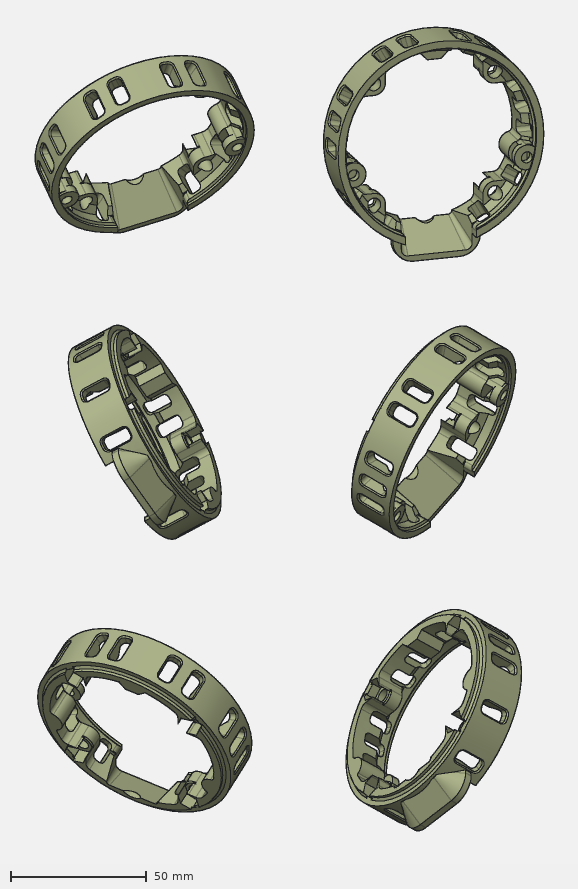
import cadquery as cq
import math


ring_length = 19.0
outer_radius = 40.0
opening_radius = 33.9
cavity_radius = 36.4
cavity_start = 11.2
cavity_slope_length = cavity_radius - opening_radius
recess_radius = 37.2
recess_depth = 1.0
recess_slope_length = 0.7
recess_start = ring_length - recess_depth - recess_slope_length

clearance = 0.9

tolerance = 0.01

lip_radius = 37.0
lip_root_radius = 38.0
lip_straight_length = 1.2
shoulder = 1.9

boss_offset = 23.4
boss_radius = 4.5
boss_fillet = 3.0
screw_hole_diameter = 5.2
nut_flats = 8.0
nut_diameter = nut_flats / math.cos(math.pi / 6)
nut_depth = 5.6
boss_chamfer = 0.5
lip_gap_reach = 5.3

bump_radius = 4.8
bump_y = 33.7
bump_z = -8.8
bump_end = 18.1
bump_fillet = 1.7
bump_root_fillet = 0.9
bump_hole_diameter = 4.2
bump_slot_floor_y = 36.1
bump_slot_length = 3.9
bump_slot_height = 8.6

key_tip_width = 5.3
key_root_width = 10.8
key_tip_z = 30.65
key_root_z = 33.4

window_length = 11.1
window_width = 5.1
window_corner = 1.6
window_chamfer = 0.6
window_x = 10.6
window_inner_radius = 30.9
window_angles = (-60, -30, 0, 15, 30, 60, 75)

scoop_width = 34.0
scoop_bottom_z = -45.85
scoop_corner = 8.15
plate_start = 11.4
plate_thickness = 2.7
ramp_length = 8.4
ramp_angle = 38
throat_width = 20.95
throat_bottom_z = -33.75
throat_corner = 1.3
mouth_width = 27.6
mouth_bottom_z = -43.5
mouth_corner = 2.6
mouth_edge_fillet = 2.15
cable_groove_radius = 4.8
cable_groove_z = -30.65
cable_groove_length = 5.6


def section(x):
    """Workplane across the ring axis at position x."""
    return cq.Workplane("YZ", origin=(x, 0, 0))


def disc(radius, start, length):
    return section(start).circle(radius).extrude(length)


def cone(start_radius, end_radius, start, length):
    return section(start).circle(start_radius).workplane(offset=length).circle(end_radius).loft()


def upright_slab(x, width, bottom_z, corner):
    """Closed wire reaching from the ring axis down to bottom_z, rounded at its lower corners."""
    half = width / 2
    arc_offset = corner * math.sqrt(0.5)
    arc_z = bottom_z + corner - arc_offset
    arc_y = half - corner + arc_offset
    return (
        section(x)
        .moveTo(-half, 0)
        .lineTo(-half, bottom_z + corner)
        .threePointArc((-arc_y, arc_z), (corner - half, bottom_z))
        .lineTo(half - corner, bottom_z)
        .threePointArc((arc_y, arc_z), (half, bottom_z + corner))
        .lineTo(half, 0)
        .close()
    )


def bump(side, start, length):
    return section(start).center(side * bump_y, bump_z).circle(bump_radius).extrude(length)


def corner_boss():
    """Square-backed boss with one rounded corner, in the +Y +Z quadrant."""
    size = 2 * boss_radius + boss_offset
    inner = boss_offset - boss_radius
    block = section(0).center(inner, inner).rect(size, size, centered=False).extrude(cavity_start)
    return block.edges("|X and <Y and <Z").fillet(boss_radius)


def opening():
    """Material removed from the middle of the ring, ahead of the rear cavity."""
    cut = disc(opening_radius, 0, cavity_start)
    boss = corner_boss()
    for quarter in range(4):
        cut = cut.cut(boss.rotate((0, 0, 0), (1, 0, 0), 90 * quarter))
    for side in (-1, 1):
        cut = cut.cut(bump(side, 0, cavity_start))
    key = (
        section(0)
        .polyline([
            (-key_tip_width / 2, key_tip_z),
            (key_tip_width / 2, key_tip_z),
            (key_root_width / 2, key_root_z),
            (key_root_width / 2, outer_radius),
            (-key_root_width / 2, outer_radius),
            (-key_root_width / 2, key_root_z),
        ])
        .close()
        .extrude(cavity_start)
    )

    def on_rim(edge):
        centre = edge.Center()
        return abs(math.hypot(centre.y, centre.z) - opening_radius) < tolerance

    def above_bump(edge):
        return on_rim(edge) and bump_z < edge.Center().z < 0

    def below_bump(edge):
        return on_rim(edge) and bump_z - 2 * bump_radius < edge.Center().z < bump_z

    def beside_boss(edge):
        centre = edge.Center()
        return on_rim(edge) and min(abs(centre.y), abs(centre.z)) > boss_offset - 2 * boss_radius

    cut = cut.edges("|X").filter(beside_boss).fillet(boss_fillet)
    cut = cut.edges("|X").filter(above_bump).fillet(bump_fillet)
    cut = cut.edges("|X").filter(below_bump).fillet(bump_root_fillet)
    return cut.cut(key)


def rear_cavity():
    bore_start = cavity_start + cavity_slope_length
    cavity = cone(opening_radius, cavity_radius, cavity_start, cavity_slope_length)
    cavity = cavity.union(disc(cavity_radius, bore_start, ring_length - bore_start))
    bump_length = bump_end - cavity_start
    for side in (-1, 1):
        backing = section(cavity_start).center(side * (bump_y + bump_radius), bump_z)
        backing = backing.rect(2 * bump_radius, 2 * bump_radius).extrude(bump_length)
        cavity = cavity.cut(bump(side, cavity_start, bump_length)).cut(backing)
    return cavity


def rear_recess():
    recess = disc(recess_radius, ring_length - recess_depth, recess_depth)
    recess = recess.union(cone(cavity_radius, recess_radius, recess_start, recess_slope_length))
    for side in (-1, 1):
        recess = recess.cut(bump(side, recess_start, bump_end - recess_start))
    return recess


def on_mouth_edge(edge):
    """True for the straight edges where the rear cavity meets the sides of the scoop mouth."""
    centre = edge.Center()
    on_side = abs(abs(centre.y) - mouth_width / 2) < tolerance
    return on_side and abs(math.hypot(centre.y, centre.z) - cavity_radius) < tolerance


def ring():
    lip_slope = shoulder - lip_straight_length
    lip = disc(lip_radius, 0, lip_straight_length)
    lip = lip.union(cone(lip_radius, lip_root_radius, lip_straight_length, lip_slope))
    return lip.union(disc(outer_radius, shoulder, ring_length - shoulder))


def nut_seat():
    """Screw hole, nut pocket and lip gap of one boss, drawn on the +Y axis before it is turned."""
    distance = boss_offset * math.sqrt(2)
    centre = section(0).center(distance, 0)
    hole = centre.circle(screw_hole_diameter / 2).extrude(recess_start)
    pocket = centre.transformed(rotate=(0, 0, 30)).polygon(6, nut_diameter).extrude(nut_depth)

    side_length = nut_diameter / 2
    mouth = section(0).center(distance - nut_flats / 2, 0).rect(nut_flats / 2, side_length).extrude(nut_depth)
    tip_half = side_length - lip_gap_reach * math.tan(math.pi / 6)
    gap = (
        section(0)
        .polyline([
            (distance, -side_length),
            (distance + lip_gap_reach, -tip_half),
            (distance + lip_gap_reach, tip_half),
            (distance, side_length),
        ])
        .close()
        .extrude(shoulder)
    )

    rim = section(nut_depth).center(distance, 0)
    bevel = rim.circle(2 * boss_radius).extrude(boss_chamfer)
    core = rim.circle(boss_radius - boss_chamfer).workplane(offset=boss_chamfer).circle(boss_radius).loft()
    round_end = distance - boss_radius * math.sqrt(0.5)
    inner_side = section(nut_depth).center(round_end - boss_radius / 2, 0).rect(boss_radius, 2 * boss_radius)
    bevel = bevel.cut(core).intersect(inner_side.extrude(boss_chamfer))
    return hole.union(pocket).union(mouth).union(gap).union(bevel)


def window(angle):
    """Rounded slot through the +Y wall, turned about the ring axis by angle."""
    plane = cq.Plane(origin=(window_x, 0, 0), xDir=(1, 0, 0), normal=(0, 1, 0))

    def rounded(length, width, corner, start, end):
        block = cq.Workplane(plane).workplane(offset=start).rect(length, width).extrude(end - start)
        return block.edges("|Y").fillet(corner)

    slot = rounded(window_length, window_width, window_corner, window_inner_radius, outer_radius + clearance)
    flare_start = outer_radius - window_chamfer
    flare = rounded(
        window_length + 2 * window_chamfer,
        window_width + 2 * window_chamfer,
        window_corner + window_chamfer,
        flare_start,
        outer_radius + clearance,
    )
    flare = flare.faces("<Y").chamfer(window_chamfer)
    return slot.union(flare).rotate((0, 0, 0), (1, 0, 0), angle)


def scoop():
    plate = upright_slab(plate_start, scoop_width, scoop_bottom_z, scoop_corner).extrude(plate_thickness)
    ramp = upright_slab(plate_start, scoop_width, scoop_bottom_z, scoop_corner)
    ramp = ramp.extrude(-ramp_length, taper=ramp_angle)
    return plate.union(ramp).cut(disc(outer_radius - clearance, 0, ring_length))


def scoop_cavity():
    """Passage that widens and drops from the front face to the plate, then runs straight out."""
    plate_end = plate_start + plate_thickness
    throat = upright_slab(0, throat_width, throat_bottom_z, throat_corner).wire().val()
    mouth = upright_slab(plate_end, mouth_width, mouth_bottom_z, mouth_corner)
    funnel = cq.Workplane(cq.Solid.makeLoft([throat, mouth.wire().val()], True))
    exit_length = ring_length - plate_end
    exit_hole = mouth.extrude(exit_length).union(disc(cavity_radius, plate_end, exit_length))
    exit_hole = exit_hole.edges("|X").filter(on_mouth_edge).fillet(mouth_edge_fillet)
    exit_hole = exit_hole.intersect(
        section(plate_end)
        .center(0, -outer_radius - boss_offset)
        .rect(2 * outer_radius, 2 * outer_radius)
        .extrude(exit_length)
    )
    groove = section(0).center(0, cable_groove_z).circle(cable_groove_radius).extrude(cable_groove_length)
    return funnel.union(exit_hole).union(groove)


def bump_nut_slot(side):
    """Slot entering from the ring centre, with a screw hole running back from it."""
    slot = cq.Workplane().box(
        bump_slot_length, bump_slot_floor_y, bump_slot_height, centered=(False, False, True)
    )
    slot = slot.translate((cavity_start, 0, bump_z))
    hole = section(cavity_start).center(bump_y, bump_z).circle(bump_hole_diameter / 2)
    slot = slot.union(hole.extrude(ring_length - cavity_start))
    return slot if side > 0 else slot.mirror("XZ")


result = ring().union(scoop())
result = result.cut(opening()).cut(rear_cavity()).cut(scoop_cavity())
result = result.cut(rear_recess())

for quarter in range(4):
    result = result.cut(nut_seat().rotate((0, 0, 0), (1, 0, 0), 45 + 90 * quarter))

for angle in window_angles:
    result = result.cut(window(angle)).cut(window(180 - angle))

for side in (-1, 1):
    result = result.cut(bump_nut_slot(side))